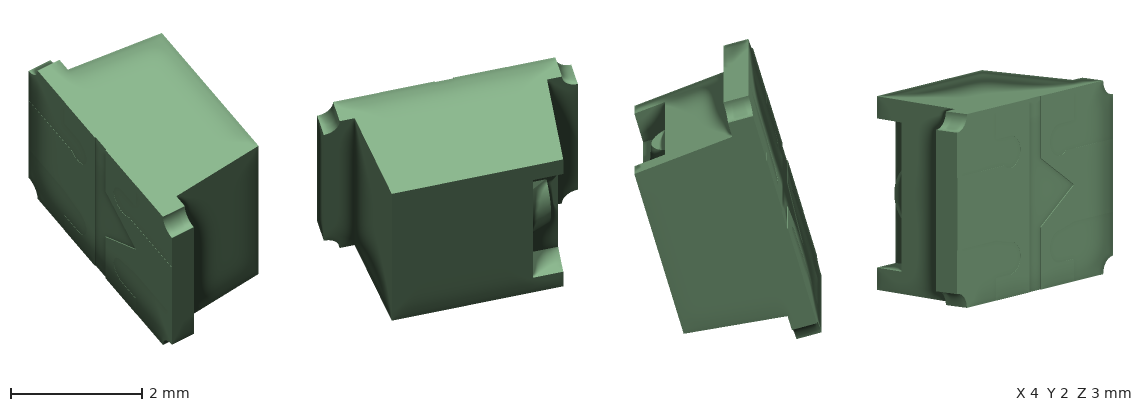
import cadquery as cq
import math

LENGTH = 4.0
DEPTH = 2.0
HEIGHT = 3.0

BASE_THICKNESS = 0.4
CORNER_NOTCH_RADIUS = 0.25

BODY_ROOT_WIDTH = 3.03
BODY_TOP_WIDTH = 2.7

POCKET_DEPTH = 0.5
POCKET_HEIGHT = 2.31
POCKET_WALL_X = -0.87

BOSS_FRONT_X = -1.22
BOSS_FRONT_RADIUS = 0.583
BOSS_BACK_RADIUS = 0.713
BOSS_AXIS_BELOW_FLOOR = 0.316
BOSS_FLAT_Z = 0.5

PAD_RELIEF = 0.014
CORNER_RECESS = 0.003
PAD_STEM_X = 1.0
PAD_LEFT_INNER_X = -0.143
PAD_RIGHT_INNER_X = 0.147
PAD_UPPER_EDGE_Z = 0.56
PAD_LOWER_EDGE_Z = -0.57
ARROW_HALF_HEIGHT = 0.535

LOBE_RADIUS = 0.25
LOBE_X = 0.63
UPPER_LOBE_Z = 0.75
LOWER_LOBE_Z = -0.9

HALF_LENGTH = LENGTH / 2
HALF_HEIGHT = HEIGHT / 2
FLOOR_Y = DEPTH - POCKET_DEPTH


def pad_plate(outline):
    """Plate of pad thickness with the given XZ outline."""
    return cq.Workplane("XZ").polyline(outline).close().extrude(-PAD_RELIEF)


def block(x_range, y_range, z_range):
    """Axis-aligned box given by its limits."""
    size = [high - low for low, high in (x_range, y_range, z_range)]
    corner = (x_range[0], y_range[0], z_range[0])
    return cq.Workplane("XY").box(*size, centered=False).translate(corner)


def make_base():
    return block((-HALF_LENGTH, HALF_LENGTH), (PAD_RELIEF, BASE_THICKNESS), (-HALF_HEIGHT, HALF_HEIGHT))


def make_corner_notches():
    """Quarter-round notches through the full thickness at the four base corners."""
    corners = [(x, z) for x in (-HALF_LENGTH, HALF_LENGTH) for z in (-HALF_HEIGHT, HALF_HEIGHT)]
    return (
        cq.Workplane("XZ")
        .pushPoints(corners)
        .circle(CORNER_NOTCH_RADIUS)
        .extrude(-BASE_THICKNESS)
    )


def make_body():
    half_root = BODY_ROOT_WIDTH / 2
    half_top = BODY_TOP_WIDTH / 2
    return (
        cq.Workplane("XY", origin=(0, 0, -HALF_HEIGHT))
        .moveTo(-half_root, BASE_THICKNESS)
        .lineTo(half_root, BASE_THICKNESS)
        .lineTo(half_top, DEPTH)
        .lineTo(-half_top, DEPTH)
        .close()
        .extrude(HEIGHT)
    )


def make_pocket():
    half_pocket = POCKET_HEIGHT / 2
    return block((-HALF_LENGTH, POCKET_WALL_X), (FLOOR_Y, DEPTH), (-half_pocket, half_pocket))


def make_boss():
    """Part of a cone above the pocket floor, cut flat on its upper side."""
    cone = cq.Workplane(
        cq.Solid.makeCone(
            BOSS_FRONT_RADIUS,
            BOSS_BACK_RADIUS,
            POCKET_WALL_X - BOSS_FRONT_X,
            pnt=cq.Vector(BOSS_FRONT_X, FLOOR_Y - BOSS_AXIS_BELOW_FLOOR, 0),
            dir=cq.Vector(1, 0, 0),
        )
    )
    kept_region = block((BOSS_FRONT_X, POCKET_WALL_X), (FLOOR_Y, DEPTH), (-BOSS_BACK_RADIUS, BOSS_FLAT_Z))
    return cone.intersect(kept_region)


def make_corner_recess(x_side, upper):
    """Shallow recess beside a pad: a corner of the contact face plus its rounded inner lobe."""
    stem_x = x_side * PAD_STEM_X
    lobe_x = x_side * LOBE_X
    end_x = x_side * HALF_LENGTH
    if upper:
        lobe_z = UPPER_LOBE_Z
        edge_z = PAD_UPPER_EDGE_Z
        outer_z = HALF_HEIGHT
        shoulder_z = lobe_z + LOBE_RADIUS
        lobe_leave_z = edge_z
        lobe_leave_x = lobe_x + x_side * math.sqrt(LOBE_RADIUS**2 - (lobe_z - edge_z) ** 2)
    else:
        lobe_z = LOWER_LOBE_Z
        edge_z = PAD_LOWER_EDGE_Z
        outer_z = -HALF_HEIGHT
        shoulder_z = lobe_z - LOBE_RADIUS
        lobe_leave_z = lobe_z + LOBE_RADIUS
        lobe_leave_x = lobe_x
    return (
        cq.Workplane("XZ")
        .moveTo(end_x, outer_z)
        .lineTo(stem_x, outer_z)
        .lineTo(stem_x, shoulder_z)
        .lineTo(lobe_x, shoulder_z)
        .threePointArc((lobe_x - x_side * LOBE_RADIUS, lobe_z), (lobe_leave_x, lobe_leave_z))
        .lineTo(stem_x, edge_z)
        .lineTo(end_x, edge_z)
        .close()
        .extrude(-CORNER_RECESS)
    )


def make_pads():
    left = pad_plate(
        [
            (-HALF_LENGTH, -HALF_HEIGHT),
            (PAD_LEFT_INNER_X, -HALF_HEIGHT),
            (PAD_LEFT_INNER_X, HALF_HEIGHT),
            (-HALF_LENGTH, HALF_HEIGHT),
        ]
    )
    right = pad_plate(
        [
            (HALF_LENGTH, -HALF_HEIGHT),
            (PAD_RIGHT_INNER_X, -HALF_HEIGHT),
            (PAD_RIGHT_INNER_X, -ARROW_HALF_HEIGHT),
            (PAD_STEM_X, 0),
            (PAD_RIGHT_INNER_X, ARROW_HALF_HEIGHT),
            (PAD_RIGHT_INNER_X, HALF_HEIGHT),
            (HALF_LENGTH, HALF_HEIGHT),
        ]
    )
    pads = left.union(right)
    for x_side in (-1, 1):
        for upper in (True, False):
            pads = pads.cut(make_corner_recess(x_side, upper))
    return pads


molding = make_body().cut(make_pocket()).union(make_boss())
result = make_base().union(molding).union(make_pads()).cut(make_corner_notches())